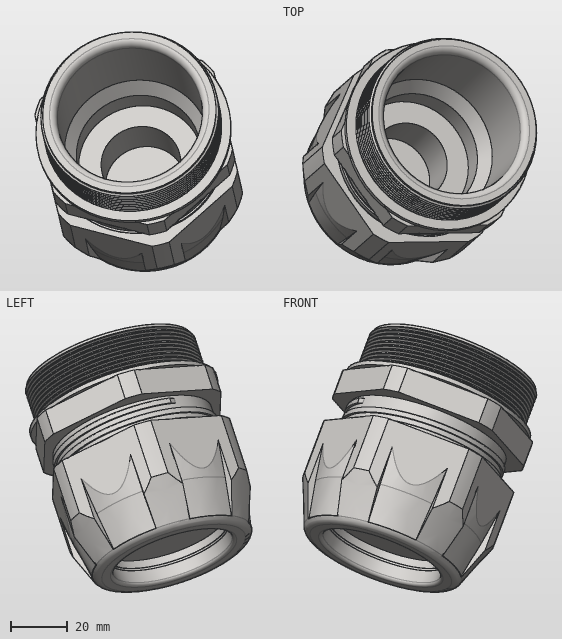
import cadquery as cq
import math


spin = 0.8
tilt_about_x = -17.1
tilt_about_y = 20.6
axis_offset = (-0.2, -0.6, 0.0)

cap_bottom = -38.7
cap_top = 0.4
hex_bottom = 10.8
hex_top = 20.3
gasket_top = 21.9
body_top = 38.25
body_bottom = -18.9

across_flats = 65.0
across_corners = 71.8
flat_count = 6
flat_step = 360 / flat_count

entry_thread_diameter = 63.0
entry_root_diameter = 61.4
entry_pitch = 1.5
entry_flank = 0.5
entry_crest_width = 0.14
entry_chamfer = 0.6
bore_diameter = 51.4
bore_rounding = 2.6
neck_diameter = 58.7
ridge_diameter = 60.2
ridge_pitch = 4.0
ridge_width = 1.9
ridge_end_angle = -150.0
ridge_runout = 2.6
ridge_end_height = 8.7
ridge_turns = 3
ridge_overlap = 0.5

gasket_diameter = 69.1

cap_bore_diameter = 61.0
cap_opening_diameter = 44.2
cap_opening_rounding = 1.2
cap_face_diameter = 53.1
cap_rim_rounding = 3.3
cap_cone_top = -20.3
cap_cone_angle = 22.1
cap_floor_top = -32.8
rim_turn = math.radians(90 - cap_cone_angle)
cap_rim_radius = cap_face_diameter / 2 + cap_rim_rounding * math.sin(rim_turn)
cap_rim_top = cap_bottom + cap_rim_rounding * (1 - math.cos(rim_turn))

scoop_half_angle = 17.8
scoop_top = -4.7
scoop_top_radius = 34.8
scoop_bend = -22.7
scoop_bend_radius = 32.0
scoop_bottom_radius = 29.35

washer_bore = 44.5
washer_thickness = 0.85
sleeve_bottom = cap_floor_top + washer_thickness
sleeve_bore = 44.0
sleeve_top = 6.25
sleeve_cone_bottom = 1.1
insert_top = -8.5
insert_floor = -27.0
insert_bottom = -29.0
insert_hole = 28.2


def cylinder(diameter, low, high):
    return cq.Workplane("XY").workplane(offset=low).circle(diameter / 2).extrude(high - low)


def hexagon(low, high):
    """Hexagonal prism with turned corners and a flat facing -Y."""
    prism = (
        cq.Workplane("XY")
        .workplane(offset=low)
        .polygon(flat_count, across_flats, circumscribed=True)
        .extrude(high - low)
        .rotate((0, 0, 0), (0, 0, 1), flat_step / 2)
    )
    return prism.intersect(cylinder(across_corners, low, high))


def revolved(points):
    """Solid of revolution from (radius, height) points."""
    return cq.Workplane("XZ").polyline(points).close().revolve(360, (0, 0, 0), (0, 1, 0))


def entry_thread():
    """Threaded end as a stack of equal rings."""
    crest = entry_thread_diameter / 2
    root = entry_root_diameter / 2
    points = [(0, gasket_top), (root, gasket_top)]
    turns = math.floor((body_top - gasket_top - entry_chamfer) / entry_pitch)
    first = body_top - entry_chamfer - turns * entry_pitch
    for turn in range(turns):
        low = first + turn * entry_pitch
        points.append((root, low))
        points.append((crest, low + entry_flank))
        points.append((crest, low + entry_flank + entry_crest_width))
        points.append((root, low + 2 * entry_flank + entry_crest_width))
    points.append((root, body_top - entry_chamfer))
    points.append((root, body_top))
    points.append((0, body_top))
    return revolved(points)


def neck_ridge():
    """Helical ridge of the neck, with a sloping runout at its upper end."""
    height = ridge_pitch * ridge_turns
    radius = neck_diameter / 2
    depth = (ridge_diameter - neck_diameter) / 2
    path = cq.Workplane(cq.Wire.makeHelix(ridge_pitch, height, radius))
    ridge = (
        cq.Workplane("XZ")
        .center(radius + (depth - ridge_overlap) / 2, 0)
        .rect(depth + ridge_overlap, ridge_width)
        .sweep(path, isFrenet=True)
    )
    outside = radius + 2 * depth
    runout_slope = ridge_runout / depth
    runout = (
        cq.Workplane("XY")
        .workplane(offset=height - ridge_width)
        .polyline([(radius, 0), (outside, 0), (outside, -runout_slope * (outside - radius))])
        .close()
        .extrude(2 * ridge_width)
    )
    ridge = ridge.cut(runout)
    ridge = ridge.rotate((0, 0, 0), (0, 0, 1), ridge_end_angle)
    return ridge.translate((0, 0, ridge_end_height - height))


def make_body():
    body = cylinder(neck_diameter, body_bottom, hex_bottom).union(neck_ridge())
    body = body.union(hexagon(hex_bottom, hex_top))
    body = body.union(cylinder(entry_root_diameter, hex_top, gasket_top))
    body = body.union(entry_thread())
    body = body.cut(cylinder(bore_diameter, body_bottom, body_top))
    bore_edge = cq.selectors.RadiusNthSelector(0)
    return body.faces(">Z").edges("%CIRCLE").edges(bore_edge).fillet(bore_rounding)


def make_gasket():
    return cylinder(gasket_diameter, hex_top, gasket_top).cut(
        cylinder(entry_root_diameter, hex_top, gasket_top)
    )


def scoop_cutter():
    """Material outside a bent cone, within a wedge centred on the flat facing -Y."""
    far = across_corners
    ring = revolved(
        [
            (far, scoop_top),
            (scoop_top_radius, scoop_top),
            (scoop_bend_radius, scoop_bend),
            (scoop_bottom_radius, cap_rim_top),
            (far, cap_rim_top),
        ]
    )
    half_width = far * math.tan(math.radians(scoop_half_angle))
    wedge = (
        cq.Workplane("XY")
        .workplane(offset=cap_bottom)
        .polyline([(0, 0), (half_width, -far), (-half_width, -far)])
        .close()
        .extrude(cap_top - cap_bottom)
    )
    return ring.intersect(wedge)


def cap_envelope():
    """Turned outline of the cap: a cone that a round rim joins to the flat end face."""
    face = cap_face_diameter / 2
    half_turn = rim_turn / 2
    rim_middle = (
        face + cap_rim_rounding * math.sin(half_turn),
        cap_bottom + cap_rim_rounding * (1 - math.cos(half_turn)),
    )
    return (
        cq.Workplane("XZ")
        .moveTo(0, cap_bottom)
        .lineTo(face, cap_bottom)
        .threePointArc(rim_middle, (cap_rim_radius, cap_rim_top))
        .lineTo(across_corners / 2, cap_cone_top)
        .lineTo(across_corners / 2, cap_top)
        .lineTo(0, cap_top)
        .close()
        .revolve(360, (0, 0, 0), (0, 1, 0))
    )


def make_cap():
    cap = hexagon(cap_bottom, cap_top).intersect(cap_envelope())
    scoop = scoop_cutter()
    for index in range(flat_count):
        cap = cap.cut(scoop.rotate((0, 0, 0), (0, 0, 1), index * flat_step))
    cap = cap.cut(cylinder(cap_bore_diameter, body_bottom, cap_top))
    cap = cap.cut(cylinder(bore_diameter, cap_floor_top, body_bottom))
    cap = cap.cut(cylinder(cap_opening_diameter, cap_bottom, cap_floor_top))
    opening_edge = cq.selectors.RadiusNthSelector(0)
    return cap.faces("<Z").edges(opening_edge).fillet(cap_opening_rounding)


def make_washer():
    return cylinder(bore_diameter, cap_floor_top, sleeve_bottom).cut(
        cylinder(washer_bore, cap_floor_top, sleeve_bottom)
    )


def make_sleeve():
    """Seal sleeve in the bore, with a conical upper end."""
    outer = bore_diameter / 2
    inner = sleeve_bore / 2
    return revolved(
        [(inner, sleeve_bottom), (outer, sleeve_bottom), (outer, sleeve_top), (inner, sleeve_cone_bottom)]
    )


def make_insert():
    """Plug in the sleeve with a blind hole from above."""
    return cylinder(sleeve_bore, insert_bottom, insert_top).cut(
        cylinder(insert_hole, insert_floor, insert_top)
    )


def placed(upright):
    turned = upright.rotate((0, 0, 0), (0, 0, 1), spin)
    leaning = turned.rotate((0, 0, 0), (1, 0, 0), tilt_about_x)
    return leaning.rotate((0, 0, 0), (0, 1, 0), tilt_about_y).translate(axis_offset)


body = placed(make_body())
gasket = placed(make_gasket())
cap = placed(make_cap())
washer = placed(make_washer())
sleeve = placed(make_sleeve())
insert = placed(make_insert())

result = cq.Compound.makeCompound(
    [body.val(), gasket.val(), cap.val(), washer.val(), sleeve.val(), insert.val()]
)